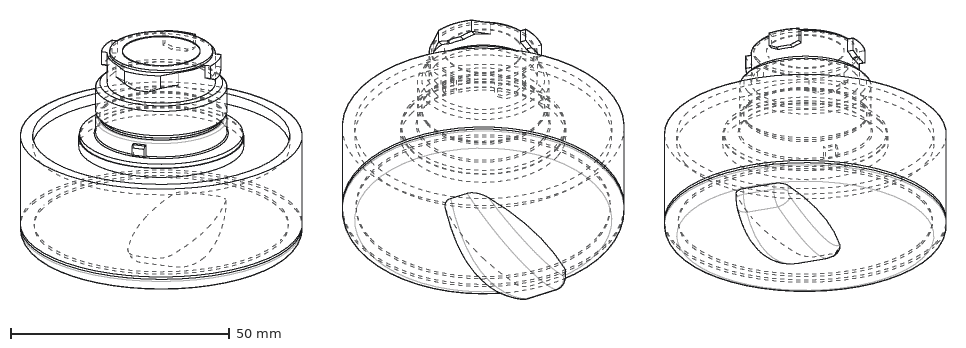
import cadquery as cq
import math


body_radius = 32.3
lid_height = 3.35
lid_rounding = 2.85
gap_height = 0.6
gap_radius = 29.15
body_top = 25.7
rim_thickness = 2.85
floor_height = 23.1

flange_radius = 18.9
flange_step = 0.2
flange_step_height = 25.3
flange_top = 26.3

ring_radius = 15.05
foot_flare = 0.3
lower_ring_rounding = 0.5
lower_ring_top = 30.4
groove_radius = 14.15
groove_top = 30.9
upper_ring_chamfer = 1.0
upper_ring_top = 38.8
neck_radius = 12.4
neck_top = 46.1
cap_radius = 11.8
total_top = 46.7
recess_radius = 8.9
recess_depth = 0.2

lug_radius = 13.75
lug_width = 7.35
front_lug_width = 8.65
lug_height = 4.1
lug_side_height = 3.1
lug_tip_width = 3.5
front_lug_wing = 3.9
side_lug_angles = (90, 180, 270)

key_width = 3.0
key_bottom = 26.5
key_top = 29.4
key_reach = 16.35
key_chamfer = 0.6
key_embed = 0.65

grip_back = 28.9
grip_crown = 11.6
grip_depth = 8.2
grip_keel_radius = 36.2
grip_back_corner = 3.9
grip_half_width = 7.8
grip_side_radius = 80.75
grip_rounding = 2.7
grip_root = 1.3


def disc(radius, bottom, top):
    """Upright cylinder about the main axis."""
    return cq.Workplane("XY").workplane(offset=bottom).circle(radius).extrude(top - bottom)


def make_housing():
    lid = disc(body_radius, 0, lid_height).faces("<Z").edges().fillet(lid_rounding)
    body_bottom = lid_height + gap_height
    body = disc(body_radius, body_bottom, body_top)
    well = disc(body_radius - rim_thickness, floor_height, body_top)
    return lid.union(disc(gap_radius, 0, body_bottom)).union(body.cut(well))


def make_connector():
    flange = disc(flange_radius, floor_height, flange_step_height).union(
        disc(flange_radius - flange_step, flange_step_height, flange_top)
    )
    foot = cq.Workplane("XY").add(
        cq.Solid.makeCone(ring_radius + foot_flare, ring_radius, foot_flare, cq.Vector(0, 0, flange_top))
    )
    lower_ring = disc(ring_radius, flange_top, lower_ring_top).faces(">Z").edges().fillet(lower_ring_rounding)
    upper_ring = disc(ring_radius, groove_top, upper_ring_top).faces("<Z or >Z").chamfer(upper_ring_chamfer)
    core = disc(groove_radius, lower_ring_top, groove_top)
    neck = disc(neck_radius, upper_ring_top, neck_top)
    cap = disc(cap_radius, neck_top, total_top).cut(disc(recess_radius, total_top - recess_depth, total_top))
    connector = flange
    for section in (foot, lower_ring, core, upper_ring, neck, cap):
        connector = connector.union(section)
    return connector


def make_lug(width, angle, wing=0.0):
    """Lug with a tapered lower edge, pointing along -Y before it is turned by the angle.

    A wing adds 45 degree flanks that run from the outer face back to the neck.
    """
    side_bottom = neck_top - lug_side_height
    tip_bottom = neck_top - lug_height
    half = width / 2
    half_tip = lug_tip_width / 2
    block = (
        cq.Workplane("XZ")
        .moveTo(-half, neck_top)
        .lineTo(-half, side_bottom)
        .lineTo(-half_tip, tip_bottom)
        .lineTo(half_tip, tip_bottom)
        .lineTo(half, side_bottom)
        .lineTo(half, neck_top)
        .close()
        .extrude(lug_radius)
    )
    if wing:
        outer = math.sqrt(lug_radius**2 - half**2)
        flanks = (
            cq.Workplane("XY")
            .workplane(offset=side_bottom)
            .moveTo(-half, -outer)
            .lineTo(half, -outer)
            .lineTo(half + wing, wing - outer)
            .lineTo(-half - wing, wing - outer)
            .close()
            .extrude(lug_side_height)
        )
        block = block.union(flanks)
    lug = block.intersect(disc(lug_radius, tip_bottom, neck_top))
    return lug.rotate((0, 0, 0), (0, 0, 1), angle)


def make_key():
    root = ring_radius - key_embed
    return (
        cq.Workplane("XY")
        .box(key_width, key_reach - root, key_top - key_bottom, centered=(True, False, False))
        .translate((0, -key_reach, key_bottom))
        .faces("<Y")
        .edges("|X")
        .chamfer(key_chamfer)
    )


def arc_drop(radius, distance):
    """How far an arc falls away from its crown at a distance along the crown's tangent."""
    return radius - math.sqrt(radius**2 - distance**2)


def make_grip():
    """Lens-shaped grip: an arched side profile trimmed to a bulging plan and rounded below.

    It starts inside the lid so that the rounded edges run out through the lid's underside.
    """
    keel_rise = grip_depth + grip_root
    front = grip_crown - math.sqrt(2 * grip_keel_radius * keel_rise - keel_rise**2)
    back_depth = grip_depth - arc_drop(grip_keel_radius, grip_back - grip_crown)
    profile = (
        cq.Workplane("YZ")
        .moveTo(front, grip_root)
        .threePointArc((grip_crown, -grip_depth), (grip_back, -back_depth))
        .lineTo(grip_back, grip_root)
        .close()
        .extrude(2 * grip_half_width, both=True)
        .faces(">Y")
        .edges("<Z")
        .fillet(grip_back_corner)
    )
    front_half_width = grip_half_width - arc_drop(grip_side_radius, grip_crown - front)
    back_half_width = grip_half_width - arc_drop(grip_side_radius, grip_back - grip_crown)
    plan = (
        cq.Workplane("XY")
        .workplane(offset=grip_root)
        .moveTo(-front_half_width, front)
        .threePointArc((-grip_half_width, grip_crown), (-back_half_width, grip_back))
        .lineTo(back_half_width, grip_back)
        .threePointArc((grip_half_width, grip_crown), (front_half_width, front))
        .close()
        .extrude(-2 * grip_depth)
    )
    return profile.intersect(plan).edges("not(|X or >Z)").fillet(grip_rounding)


result = make_housing().union(make_connector())
for lug_angle in side_lug_angles:
    result = result.union(make_lug(lug_width, lug_angle))
result = result.union(make_lug(front_lug_width, 0, front_lug_wing))
result = result.union(make_key()).union(make_grip())